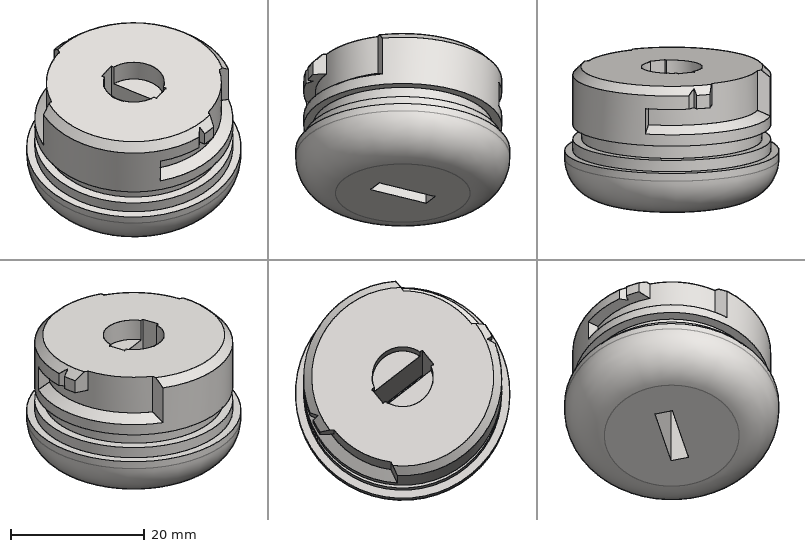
import cadquery as cq
import math

rim_radius = 16.08
body_radius = 14.85
groove_radius = 13.5
total_height = 20.0
dome_radius = 5.98
rim_top = 7.17
groove_bottom = 8.9
groove_top = 11.1
top_chamfer = 1.22

track_radius = 13.12
track_floor_outer = 12.83
track_floor_inner = 13.9
track_ceiling = 16.72
track_end_angle = 42.8
entry_wall_skew = 4.6
left_entry_angle = 51.2
right_entry_angle = 44.0
lip_ramp_run = 1.22

notch_start = 3.28
notch_end = 4.45
notch_root_x = 13.6

bore_radius = 4.57
bore_depth = 3.3
key_length = 9.6
key_width = 2.7

clearance = 3.2


def polar(radius, angle):
    """Point at an angle from -X, positive towards +Y."""
    a = math.radians(angle)
    return -radius * math.cos(a), radius * math.sin(a)


def extend(start, through, factor=3.0):
    """Point further along the line from start through a second point."""
    return tuple(s + factor * (t - s) for s, t in zip(start, through))


def make_body():
    dome_flat_radius = rim_radius - dome_radius
    diagonal = dome_radius * math.sqrt(0.5)
    profile = (
        cq.Workplane("XZ")
        .lineTo(dome_flat_radius, 0)
        .threePointArc(
            (dome_flat_radius + diagonal, dome_radius - diagonal),
            (rim_radius, dome_radius),
        )
        .lineTo(rim_radius, rim_top)
        .lineTo(body_radius, rim_top)
        .lineTo(body_radius, groove_bottom)
        .lineTo(groove_radius, groove_bottom)
        .lineTo(groove_radius, groove_top)
        .lineTo(body_radius, groove_top)
        .lineTo(body_radius, total_height - top_chamfer)
        .lineTo(body_radius - top_chamfer, total_height)
        .lineTo(0, total_height)
        .close()
    )
    return profile.revolve(360, (0, 0, 0), (0, 1, 0))


def make_track_ring(top):
    """Ring outside the track root, with a conical floor falling outwards."""
    floor_slope = (track_floor_inner - track_floor_outer) / (body_radius - track_radius)
    outer_radius = body_radius + clearance
    profile = [
        (track_radius, track_floor_inner),
        (outer_radius, track_floor_outer - floor_slope * clearance),
        (outer_radius, top),
        (track_radius, top),
    ]
    return cq.Workplane("XZ").polyline(profile).close().revolve(360, (0, 0, 0), (0, 1, 0))


def make_prism(points, bottom=0.0):
    height = total_height + clearance - bottom
    return cq.Workplane("XY").workplane(offset=bottom).polyline(points).close().extrude(height)


def make_track(entry_angle):
    """Cutter for the track on the -X side."""
    reach = 2 * rim_radius
    wall_inner = polar(track_radius, -entry_angle)
    wall_outer = polar(body_radius, -entry_angle - entry_wall_skew)
    wall_far = extend(wall_inner, wall_outer)

    lip_inner = (-track_radius, 0)
    lip_outer = (-math.sqrt(body_radius**2 - lip_ramp_run**2), lip_ramp_run)
    lip_far = extend(lip_inner, lip_outer)
    far_corner = (-reach, -reach)
    entry_sector = make_prism([(0, 0), wall_inner, wall_far, far_corner, lip_far, lip_inner])
    entry = make_track_ring(total_height + clearance).intersect(entry_sector)

    undercut_far = polar(reach, track_end_angle)
    undercut_sector = make_prism([(0, 0), wall_inner, wall_far, far_corner, undercut_far])
    undercut = make_track_ring(track_ceiling).intersect(undercut_sector)

    notch_root = (-notch_root_x, notch_start)
    notch_outer = (-math.sqrt(body_radius**2 - notch_end**2), notch_end)
    notch_points = [notch_root, (-reach, notch_start), extend(notch_root, notch_outer)]
    notch = make_prism(notch_points, track_ceiling)
    return entry.union(undercut).union(notch)


def make_key_opening():
    bore = (
        cq.Workplane("XY").workplane(offset=total_height - bore_depth)
        .circle(bore_radius).extrude(bore_depth)
    )
    slot = cq.Workplane("XY").rect(key_length, key_width).extrude(total_height)
    return bore.union(slot)


left_track = make_track(left_entry_angle)
right_track = make_track(right_entry_angle).rotate((0, 0, 0), (0, 0, 1), 180)
result = make_body().cut(left_track).cut(right_track).cut(make_key_opening())